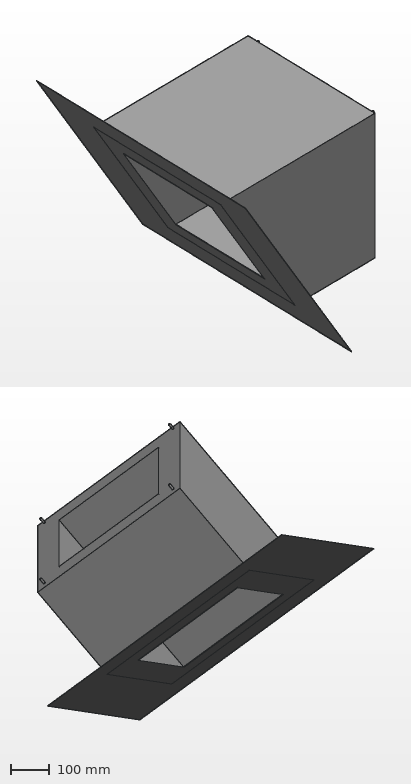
import cadquery as cq
import math

plate_size = 765.0
plate_thickness = 1.0
plate_lean = 30.0

box_size = 465.0
overall_depth = 631.0

passage_size = 324.0
mouth_height = 329.0

pin_diameter = 6.0
pin_length = 16.0
pin_spacing = 421.0
pin_top_offset = 15.0

lean = math.radians(plate_lean)
plate_front_y = -plate_size / 2 * math.sin(lean)
pin_end_y = plate_front_y + overall_depth
box_back_y = pin_end_y - pin_length


def front_plane_y(z):
    """Y of the plate's front face at height z."""
    return -z * math.tan(lean)


def make_bar(width, height, back_y):
    """Bar along Y whose sloping front end lies in the plate's front face."""
    top = height / 2
    profile = [
        (front_plane_y(top), top),
        (back_y, top),
        (back_y, -top),
        (front_plane_y(-top), -top),
    ]
    return cq.Workplane("YZ").polyline(profile).close().extrude(width / 2, both=True)


def make_plate():
    blank = cq.Workplane("XZ").rect(plate_size, plate_size).extrude(-plate_thickness)
    return blank.rotate((0, 0, 0), (1, 0, 0), plate_lean)


def make_mouth():
    """Recess as deep as the plate, following its slope."""
    depth_along_y = plate_thickness / math.cos(lean)
    half = mouth_height / 2
    profile = [
        (front_plane_y(half), half),
        (front_plane_y(half) + depth_along_y, half),
        (front_plane_y(-half) + depth_along_y, -half),
        (front_plane_y(-half), -half),
    ]
    return cq.Workplane("YZ").polyline(profile).close().extrude(passage_size / 2, both=True)


def make_pins():
    upper_z = box_size / 2 - pin_top_offset
    centres = [
        (x, z)
        for x in (-pin_spacing / 2, pin_spacing / 2)
        for z in (upper_z, upper_z - pin_spacing)
    ]
    back = cq.Workplane("XZ", origin=(0, box_back_y, 0))
    return back.pushPoints(centres).circle(pin_diameter / 2).extrude(-pin_length)


box = make_bar(box_size, box_size, box_back_y)
passage = make_bar(passage_size, passage_size, box_back_y)

body = make_plate().union(box, clean=False)
body = body.cut(passage, clean=False).cut(make_mouth(), clean=False)
result = body.union(make_pins(), clean=False)